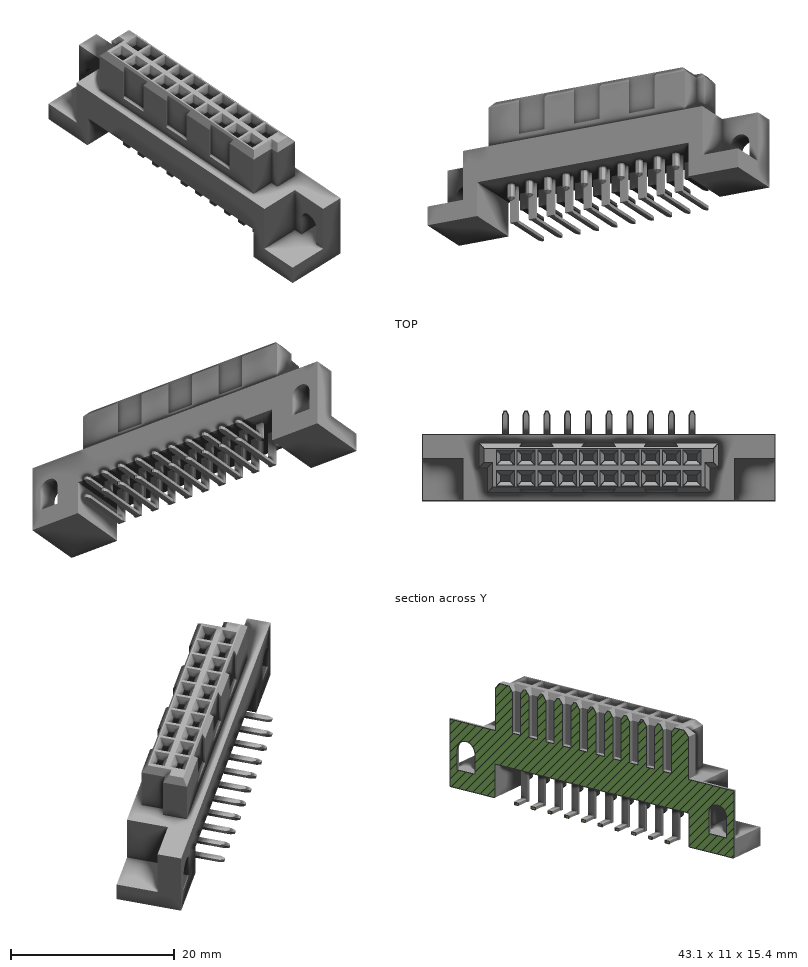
import cadquery as cq
import math


LENGTH = 43.1
DEPTH = 8.15
HOUSING_TOP = 8.85
UNDERSIDE = 4.4
FOOT_GAP = 29.3

NOTCH_LENGTH = 4.95
NOTCH_DEPTH = 5.17
NOTCH_FLOOR = 2.45
SLOT_WIDTH = 2.6
SLOT_TOP = 6.4
SLOT_FROM_END = 2.5

SHROUD_TOP = 15.1
SHROUD_DEPTH = 6.05
REAR_LENGTH = 29.3
FRONT_LENGTH = 27.25
SHROUD_FRONT = 1.05
SHROUD_REAR = SHROUD_FRONT + SHROUD_DEPTH
SHROUD_MIDDLE = SHROUD_FRONT + SHROUD_DEPTH / 2
BEVEL_HEIGHT = 0.78
BEVEL_WIDTH = 0.65

WINDOW_WIDTH = 3.55
WINDOW_INNER_WIDTH = 4.05
WINDOW_DEPTH = 1
WINDOW_BOTTOM = 10.15

COLUMNS = 10
ROW_LENGTH = 22.85
PITCH = ROW_LENGTH / (COLUMNS - 1)
WINDOW_PITCH = 3 * PITCH
ROW_CENTRES = (SHROUD_MIDDLE - PITCH / 2, SHROUD_MIDDLE + PITCH / 2)
MOUTH_X = 2.2
MOUTH_Y = 1.85
BORE_X = 1.15
BORE_Y = 0.78
FUNNEL_DEPTH = 0.75
BORE_DEPTH = 6.05

POST_SIDES = 8
POST_WIDTH = 0.9
POST_TIP_WIDTH = 0.2
POST_BOTTOM = 2.33
POST_TIP_HEIGHT = 0.4
LEG_WIDTH = 1.0
LEG_OFFSET = 0.65
PIN_WIDTH = 0.75
PIN_THICKNESS = 0.4
PIN_BOTTOM = -0.25
PIN_END = 11.0
TIP_WIDTH = 0.3
TIP_LENGTH = 0.5
EMBED = 0.45


def block(x_min, x_max, y_min, y_max, z_min, z_max):
    """Box between the given limits."""
    size = (x_max - x_min, y_max - y_min, z_max - z_min)
    return cq.Workplane("XY").box(*size, centered=False).translate((x_min, y_min, z_min))


def housing():
    """Bridge-shaped body with a notch and a mounting slot at each end."""
    end = LENGTH / 2
    body = block(-end, end, 0, DEPTH, 0, HOUSING_TOP)
    body = body.cut(block(-FOOT_GAP / 2, FOOT_GAP / 2, 0, DEPTH, 0, UNDERSIDE))

    radius = SLOT_WIDTH / 2
    slot = (
        cq.Workplane("XZ")
        .moveTo(-radius, NOTCH_FLOOR)
        .lineTo(-radius, SLOT_TOP - radius)
        .threePointArc((0, SLOT_TOP), (radius, SLOT_TOP - radius))
        .lineTo(radius, NOTCH_FLOOR)
        .close()
        .extrude(-DEPTH)
    )
    notch = block(-end, -end + NOTCH_LENGTH, 0, NOTCH_DEPTH, NOTCH_FLOOR, HOUSING_TOP)
    left_cut = notch.union(slot.translate((-end + SLOT_FROM_END, 0, 0)))
    return body.cut(left_cut).cut(left_cut.mirror("YZ"))


def shroud():
    """T-shaped tower with a bevelled top rim."""
    front = FRONT_LENGTH / 2
    rear = REAR_LENGTH / 2
    outline = [
        (-front, SHROUD_FRONT),
        (front, SHROUD_FRONT),
        (front, SHROUD_MIDDLE),
        (rear, SHROUD_MIDDLE),
        (rear, SHROUD_REAR),
        (-rear, SHROUD_REAR),
        (-rear, SHROUD_MIDDLE),
        (-front, SHROUD_MIDDLE),
    ]
    tower = (
        cq.Workplane("XY", origin=(0, 0, UNDERSIDE))
        .polyline(outline)
        .close()
        .extrude(SHROUD_TOP - UNDERSIDE)
    )
    return tower.faces(">Z").chamfer(BEVEL_HEIGHT, BEVEL_WIDTH)


def windows():
    """Dovetail recesses, three in the front of the shroud and three in the rear."""
    outer = WINDOW_WIDTH / 2
    inner = WINDOW_INNER_WIDTH / 2
    cutters = cq.Workplane("XY")
    for x in (-WINDOW_PITCH, 0, WINDOW_PITCH):
        for face, inward in ((SHROUD_FRONT, 0.45), (SHROUD_REAR, -0.45)):
            bottom = face + inward * WINDOW_DEPTH
            cutters = cutters.add(
                cq.Workplane("XY", origin=(x, 0, WINDOW_BOTTOM))
                .polyline([(-outer, face), (outer, face), (inner, bottom), (-inner, bottom)])
                .close()
                .extrude(SHROUD_TOP - WINDOW_BOTTOM)
            )
    return cutters.combine()


def socket(x, y):
    """Funnel mouth leading into a straight rectangular bore."""
    funnel = (
        cq.Workplane("XY", origin=(x, y, SHROUD_TOP))
        .rect(MOUTH_X, MOUTH_Y)
        .workplane(offset=-FUNNEL_DEPTH)
        .rect(BORE_X, BORE_Y)
        .loft(ruled=True)
    )
    bore = (
        cq.Workplane("XY", origin=(x, y, SHROUD_TOP - FUNNEL_DEPTH))
        .rect(BORE_X, BORE_Y)
        .extrude(FUNNEL_DEPTH - BORE_DEPTH)
    )
    return funnel.union(bore)


def tail(x, y, pin_bottom):
    """Leg down from the housing, turning into a pin that points to the rear."""
    leg_front = y + LEG_OFFSET
    leg = block(
        x - LEG_WIDTH / 2, x + LEG_WIDTH / 2,
        leg_front, leg_front + PIN_THICKNESS,
        pin_bottom, UNDERSIDE + EMBED,
    )
    half = PIN_WIDTH / 2
    pin = (
        cq.Workplane("XY", origin=(x, 0, pin_bottom))
        .moveTo(-half, leg_front)
        .lineTo(half, leg_front)
        .lineTo(half, PIN_END - TIP_LENGTH)
        .lineTo(TIP_WIDTH / 2, PIN_END)
        .lineTo(-TIP_WIDTH / 2, PIN_END)
        .lineTo(-half, PIN_END - TIP_LENGTH)
        .close()
        .extrude(PIN_THICKNESS)
    )
    return leg.union(pin)


def octagon(width, x, y, z):
    """Horizontal octagon of the given width across flats, with a flat facing the front."""
    circle = width / math.cos(math.pi / POST_SIDES)
    half_side_angle = 180 / POST_SIDES
    plane = cq.Plane(origin=(x, y, z)).rotated((0, 0, half_side_angle))
    return cq.Workplane(plane).polygon(POST_SIDES, circle)


def post(x, y):
    """Octagonal post with a blunt pyramid at its lower end."""
    shoulder = POST_BOTTOM + POST_TIP_HEIGHT
    shaft = octagon(POST_WIDTH, x, y, shoulder).extrude(UNDERSIDE + EMBED - shoulder)
    taper = math.degrees(math.atan((POST_WIDTH - POST_TIP_WIDTH) / 2 / POST_TIP_HEIGHT))
    tip = octagon(POST_WIDTH, x, y, shoulder).extrude(-POST_TIP_HEIGHT, taper=taper)
    return shaft.union(tip)


shell = housing().union(shroud()).cut(windows())

sockets = cq.Workplane("XY")
tails = cq.Workplane("XY")
for column in range(COLUMNS):
    column_x = column * PITCH - ROW_LENGTH / 2
    for row, row_y in enumerate(ROW_CENTRES):
        sockets.add(socket(column_x, row_y))
        tails.add(tail(column_x, row_y, PIN_BOTTOM + row * PITCH))
    tails.add(post(column_x, ROW_CENTRES[0]))

result = shell.cut(cq.Compound.makeCompound(sockets.vals())).union(tails.combine())